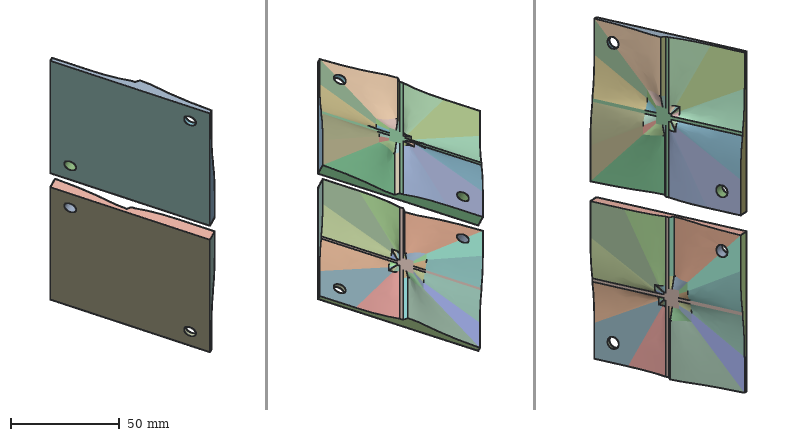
import cadquery as cq

side = 80.0
half = side / 2
gap = 9.9
max_thickness = 5.6
min_thickness = 2.0
mid_thickness = (max_thickness + min_thickness) / 2
relief = (max_thickness - min_thickness) / 2

hole_diameter = 6.0
hole_inset = 10.0

cross_half_width = 0.8
quadrant = half - cross_half_width

valley_reach = 21.2
valley_bend = 8.5
step_width = 1.7
crest_bend = 11.0
crest_tail = 13.6

left_fade = (1.2, 4.8)
right_fade = (3.7, 9.7)

valley_profile = [
    [(0, 0), (valley_bend, -relief), (valley_reach, -relief)],
    [(valley_reach, -relief), (quadrant, -relief)],
]
crest_profile = [
    [(0, 0), (step_width, relief)],
    [(step_width, relief), (crest_bend, relief), (crest_tail, -relief / 2), (quadrant, -relief)],
]


def curve(points):
    """Straight edge through two points, or a Bezier edge with more control points."""
    vectors = [cq.Vector(*point) for point in points]
    if len(vectors) == 2:
        return cq.Edge.makeLine(*vectors)
    return cq.Edge.makeBezier(vectors)


def shrink_x(along, scale, x_sign):
    """Shrink a distance from the cross along X; on the right, the step keeps its full width."""
    fixed = step_width if x_sign > 0 else 0
    if along <= fixed:
        return along
    return fixed + scale * (along - fixed)


def quadrant_edges(x_sign, z_sign, on_top, profile, scale, height_factor):
    """Profile edges along one outer side of a quadrant, shrunk in plan toward the cross corner."""
    edges = []
    for piece in profile:
        points = []
        for along, height in piece:
            across, up = (along, quadrant) if on_top else (quadrant, along)
            x = cross_half_width + shrink_x(across, scale, x_sign)
            z = cross_half_width + scale * up
            y = mid_thickness + z_sign * height_factor * height
            points.append((x_sign * x, y, z_sign * z))
        edges.append(curve(points))
    return edges


def quadrant_faces(x_sign, z_sign, on_top, profile, fade):
    """Ruled faces from the plate edge inward, then down to the flat centre."""
    fade_start, fade_end = fade
    outer = quadrant_edges(x_sign, z_sign, on_top, profile, 1, 1)
    middle = quadrant_edges(x_sign, z_sign, on_top, profile, fade_end / quadrant, 1)
    inner = quadrant_edges(x_sign, z_sign, on_top, profile, fade_start / quadrant, 0)
    return [
        cq.Face.makeRuledSurface(first, second)
        for first, second in [*zip(outer, middle), *zip(middle, inner)]
    ]


def cross_face():
    """Flat cross with the small flat corner of each quadrant around the centre."""
    width = cross_half_width
    left = width + left_fade[0]
    right_z = width + right_fade[0]
    right_x = width + shrink_x(quadrant, right_fade[0] / quadrant, 1)
    upper = [
        (half, width), (right_x, width), (right_x, right_z), (width, right_z), (width, half),
        (-width, half), (-width, left), (-left, left), (-left, width), (-half, width),
    ]
    lower = [(x, -z) for x, z in reversed(upper)]
    corners = [cq.Vector(x, mid_thickness, z) for x, z in upper + lower]
    return cq.Face.makeFromWires(cq.Wire.makePolygon(corners, close=True))


def side_face(profiles, front_start, front_end, cross_start, cross_end):
    """Flat outer side, closed by its profile edges, the cross end and the front corners."""
    ends = []
    for x, z in (front_start, front_end):
        corner_height = relief if z < 0 else -relief
        ends.append((cq.Vector(x, 0, z), cq.Vector(x, mid_thickness + corner_height, z)))
    (start_low, start_high), (end_low, end_high) = ends
    edges = [
        cq.Edge.makeLine(start_low, end_low),
        cq.Edge.makeLine(start_low, start_high),
        cq.Edge.makeLine(end_low, end_high),
        cq.Edge.makeLine(
            cq.Vector(cross_start[0], mid_thickness, cross_start[1]),
            cq.Vector(cross_end[0], mid_thickness, cross_end[1]),
        ),
    ]
    return cq.Face.makeFromWires(cq.Wire.combine(edges + profiles)[0])


def sculpted_plate():
    """Plate centred on X and Z: flat front at Y = 0 and a relief on the back.

    The step beside the cross is on the right quadrants; the other sides follow the valley profile.
    """
    width = cross_half_width
    faces = [cross_face()]
    for z_sign in (1, -1):
        faces += quadrant_faces(-1, z_sign, False, valley_profile, left_fade)
        faces += quadrant_faces(-1, z_sign, True, valley_profile, left_fade)
        faces += quadrant_faces(1, z_sign, False, valley_profile, right_fade)
        faces += quadrant_faces(1, z_sign, True, crest_profile, right_fade)
        z = z_sign * half
        profiles = quadrant_edges(-1, z_sign, True, valley_profile, 1, 1)
        profiles += quadrant_edges(1, z_sign, True, crest_profile, 1, 1)
        faces.append(side_face(profiles, (-half, z), (half, z), (-width, z), (width, z)))
    for x_sign in (-1, 1):
        x = x_sign * half
        profiles = quadrant_edges(x_sign, 1, False, valley_profile, 1, 1)
        profiles += quadrant_edges(x_sign, -1, False, valley_profile, 1, 1)
        faces.append(side_face(profiles, (x, -half), (x, half), (x, -width), (x, width)))
    front_corners = [(-half, 0, -half), (half, 0, -half), (half, 0, half), (-half, 0, half)]
    front = cq.Wire.makePolygon([cq.Vector(*corner) for corner in front_corners], close=True)
    faces.append(cq.Face.makeFromWires(front))
    return cq.Solid.makeSolid(cq.Shell.makeShell(faces)).fix()


def drilled_plate(plate, rising):
    """Drill two holes on a diagonal that rises or falls toward +X."""
    reach = half - hole_inset
    slope = 1 if rising else -1
    drills = (
        cq.Workplane("XZ")
        .pushPoints([(-reach, -slope * reach), (reach, slope * reach)])
        .circle(hole_diameter / 2)
        .extrude(-max_thickness)
    )
    return cq.Workplane(plate).cut(drills)


plate_offset = (side + gap) / 2
blank = sculpted_plate()
turned_blank = blank.rotate((0, 0, 0), (0, 1, 0), 180)
upper_plate = drilled_plate(blank, rising=True).translate((0, 0, plate_offset))
lower_plate = drilled_plate(turned_blank, rising=False).translate((0, 0, -plate_offset))

result = cq.Compound.makeCompound([*upper_plate.solids().vals(), *lower_plate.solids().vals()])